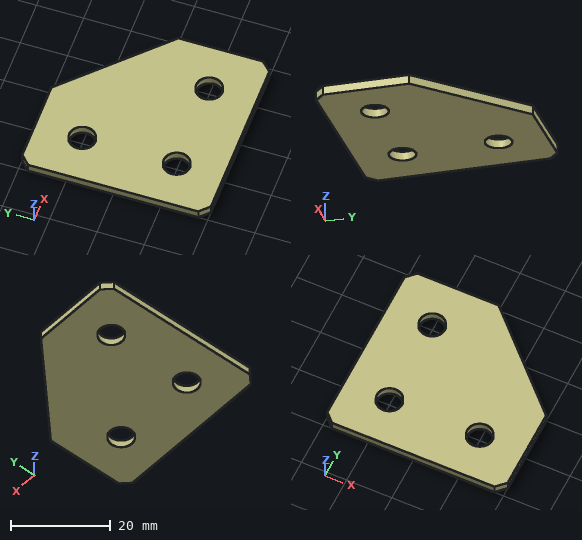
import cadquery as cq

side = 40.0
thickness = 2.0
corner_cut = 2.0
large_cut = side / 2
hole_inset = side / 4
hole_spacing = side / 2
hole_diameter = 5.5

outline = [
    (corner_cut, 0),
    (side - corner_cut, 0),
    (side, corner_cut),
    (side, side - large_cut),
    (side - large_cut, side),
    (corner_cut, side),
    (0, side - corner_cut),
    (0, corner_cut),
]
plate = cq.Workplane("XY").polyline(outline).close().extrude(thickness)

far_hole = hole_inset + hole_spacing
hole_centers = [
    (hole_inset, hole_inset),
    (far_hole, hole_inset),
    (hole_inset, far_hole),
]
holes = (
    cq.Workplane("XY")
    .pushPoints(hole_centers)
    .circle(hole_diameter / 2)
    .extrude(thickness)
)

result = plate.cut(holes)